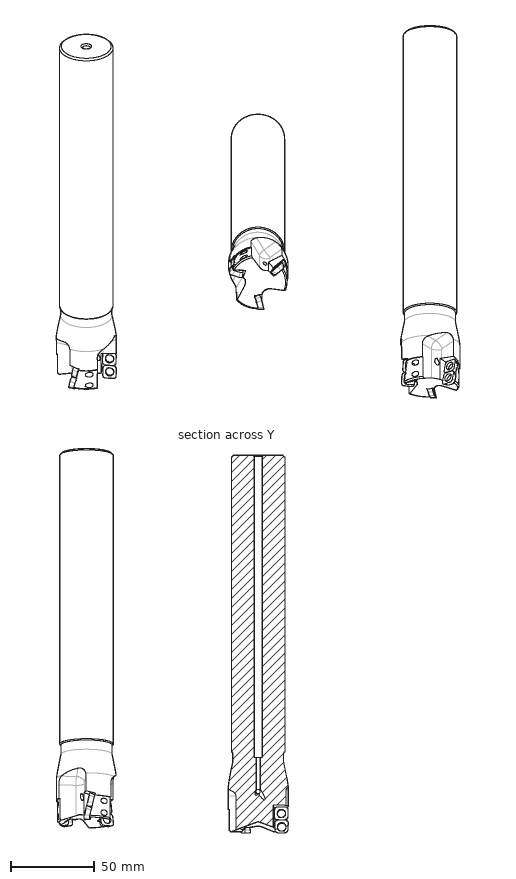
import cadquery as cq
import math

total_length = 226.5
shank_radius = 16.0
shank_chamfer = 1.1
shank_bottom = 48.0
neck_radius = 15.5
neck_bottom = 42.4
flare_mid_radius = 17.0
flare_mid_z = 34.7
head_radius = 18.1
head_straight_top = 27.5
land_radius = 17.5
land_top = 14.0
land_bottom = 0.7
land_chamfer = 1.0
dish_height = 6.8

supply_radius = 2.3
supply_mouth_radius = 3.2
supply_bottom = 45.3
feed_radius = 1.1
feed_bottom = 25.8
outlet_radius = 1.1
outlet_length = 15.9
outlet_descent = 55.0
outlet_turn = 281.0

flute_count = 3
flute_pitch = 360 / flute_count
flute_floor_offset = 5.2
flute_floor_turn = 308.0
flute_side_offset = -2.5
flute_corner_radius = 4.5
flute_floor_top = 22.2
flute_top_radius = 5.2
flute_top_slope = 24.0
flute_reach = 27.2

inserts_per_flute = 2
insert_turn = 296.0
axial_rake = 13.0
insert_width = 8.2
insert_height = 8.0
insert_thickness = 3.2
insert_gap = 0.2
insert_corner = 1.8
insert_relief = axial_rake
seat_width = 9.0
seat_front_room = 5.7
seat_overrun = 4.5
screw_hole_radius = 1.5
screw_recess_radius = 2.5
screw_recess_depth = 1.8
screw_hole_offset = 12.7
screw_hole_heights = (3.9, 11.0)

insert_pitch = insert_height + insert_gap
seat_height = inserts_per_flute * insert_pitch


def around(shape, index):
    return shape.rotate((0, 0, 0), (0, 0, 1), index * flute_pitch)


def turned_blank():
    """Shank, neck, flared head and stepped land diameter, with a dished end."""
    return (
        cq.Workplane("XZ")
        .moveTo(0, dish_height)
        .lineTo(land_radius - land_chamfer, land_bottom)
        .lineTo(land_radius, land_bottom + land_chamfer)
        .lineTo(land_radius, land_top)
        .lineTo(head_radius, land_top)
        .lineTo(head_radius, head_straight_top)
        .threePointArc((flare_mid_radius, flare_mid_z), (neck_radius, neck_bottom))
        .lineTo(neck_radius, shank_bottom)
        .lineTo(shank_radius, shank_bottom + shank_radius - neck_radius)
        .lineTo(shank_radius, total_length - shank_chamfer)
        .lineTo(shank_radius - shank_chamfer, total_length)
        .lineTo(0, total_length)
        .close()
        .revolve(360, (0, 0, 0), (0, 1, 0))
    )


def flute_cutter():
    """Gullet with a flat floor facing +X and a side wall facing -Y, rounded into its top."""
    slope = math.radians(flute_top_slope)
    center_x = flute_floor_offset + flute_top_radius
    arc_middle = math.radians(135 + flute_top_slope / 2)
    arc_end = math.radians(90 + flute_top_slope)

    def on_arc(angle):
        return (
            center_x + flute_top_radius * math.cos(angle),
            flute_floor_top + flute_top_radius * math.sin(angle),
        )

    end_x, end_z = on_arc(arc_end)
    outer_x = end_x + flute_reach
    prism = (
        cq.Workplane("XZ", origin=(0, flute_side_offset, 0))
        .moveTo(flute_floor_offset, -seat_overrun)
        .lineTo(flute_floor_offset, flute_floor_top)
        .threePointArc(on_arc(arc_middle), (end_x, end_z))
        .lineTo(outer_x, end_z + flute_reach * math.tan(slope))
        .lineTo(outer_x, -seat_overrun)
        .close()
        .extrude(flute_reach)
    )
    rounded = prism.faces(">Y").edges("not (>X or <Z)").fillet(flute_corner_radius)
    return rounded.rotate((0, 0, 0), (0, 0, 1), flute_floor_turn)


def place_on_seat(shape):
    """Tilt a shape by the axial rake and turn it to its flute."""
    return shape.rotate((0, 0, 0), (1, 0, 0), -axial_rake).rotate((0, 0, 0), (0, 0, 1), insert_turn)


def seat_cutter():
    """Pocket that the inserts of one flute sit in, open outward and at the cutting end."""
    depth = seat_front_room + insert_thickness
    pocket = cq.Workplane("XY").box(
        seat_width + seat_overrun, depth, seat_height + seat_overrun, centered=False
    )
    return place_on_seat(pocket.translate((head_radius - seat_width, -seat_front_room, -seat_overrun)))


def screw_hole_cutter(height):
    """Level bore from the seat out through the back of the land."""
    bore = (
        cq.Workplane("XZ", origin=(screw_hole_offset, 0, height))
        .circle(screw_hole_radius)
        .extrude(-head_radius)
    )
    return bore.rotate((0, 0, 0), (0, 0, 1), insert_turn)


def coolant_outlet():
    """Bore descending from the feed into the gullet in front of the inserts."""
    outlet = cq.Workplane("YZ").circle(outlet_radius).extrude(outlet_length)
    descending = outlet.rotate((0, 0, 0), (0, 1, 0), outlet_descent).translate((0, 0, feed_bottom))
    return descending.rotate((0, 0, 0), (0, 0, 1), outlet_turn)


def coolant_supply():
    """Stepped bore on the axis with a countersunk mouth in the shank end."""
    return (
        cq.Workplane("XZ")
        .moveTo(0, feed_bottom)
        .lineTo(feed_radius, feed_bottom)
        .lineTo(feed_radius, supply_bottom)
        .lineTo(supply_radius, supply_bottom)
        .lineTo(supply_radius, total_length - (supply_mouth_radius - supply_radius))
        .lineTo(supply_mouth_radius, total_length)
        .lineTo(0, total_length)
        .close()
        .revolve(360, (0, 0, 0), (0, 1, 0))
    )


def make_body():
    body = turned_blank().cut(coolant_supply())
    for index in range(flute_count):
        cutters = [flute_cutter(), seat_cutter(), coolant_outlet()]
        cutters += [screw_hole_cutter(height) for height in screw_hole_heights]
        for cutter in cutters:
            body = body.cut(around(cutter, index))
    return body


def make_insert(level):
    """Relieved cutting plate with its face in front and its round screw recess."""
    foot = level * insert_pitch
    setback = (foot + insert_height) * math.sin(math.radians(axial_rake))
    tip_reach = math.sqrt(head_radius**2 - setback**2)
    plate = (
        cq.Workplane("XZ")
        .center(tip_reach - insert_width / 2, foot + insert_height / 2)
        .rect(insert_width, insert_height)
        .extrude(-insert_thickness, taper=insert_relief)
        .edges("not #Y")
        .edges("not |X")
        .edges("not |Z")
        .fillet(insert_corner)
    )
    recess = cq.Workplane("XZ", origin=(tip_reach - insert_width / 2, 0, foot + insert_height / 2))
    recess = recess.circle(screw_recess_radius).extrude(-screw_recess_depth)
    return place_on_seat(plate.cut(recess))


body = make_body()
inserts = [
    around(make_insert(level), index) for index in range(flute_count) for level in range(inserts_per_flute)
]

result = cq.Compound.makeCompound([body.val(), *[insert.val() for insert in inserts]])